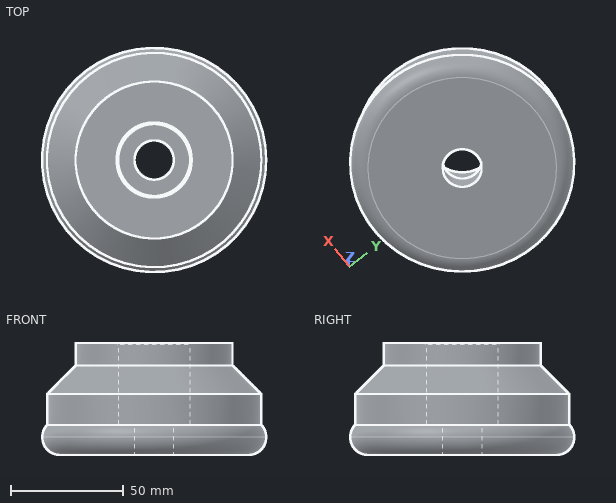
import cadquery as cq
import math

base_radius = 50.0
rim_radius = 8.0
base_hole_radius = 8.7

bell_radius = 47.8
neck_radius = 35.0
total_height = 50.0
neck_height = 10.0
bore_radius = 16.0
bore_chamfer = 0.8

shoulder_top = total_height - neck_height
shoulder_bottom = shoulder_top - (bell_radius - neck_radius)

rim_center_radius = base_radius - rim_radius
base_height = rim_radius + math.sqrt(rim_radius**2 - (bell_radius - rim_center_radius) ** 2)


def make_base():
    """Disc with a rounded rim and a central through hole."""
    diagonal = rim_radius * math.sqrt(0.5)
    upper_angle = math.atan2(base_height - rim_radius, bell_radius - rim_center_radius) / 2
    upper_arc_middle = (
        rim_center_radius + rim_radius * math.cos(upper_angle),
        rim_radius + rim_radius * math.sin(upper_angle),
    )
    return (
        cq.Workplane("XZ")
        .moveTo(base_hole_radius, 0)
        .lineTo(rim_center_radius, 0)
        .threePointArc((rim_center_radius + diagonal, rim_radius - diagonal), (base_radius, rim_radius))
        .threePointArc(upper_arc_middle, (bell_radius, base_height))
        .lineTo(base_hole_radius, base_height)
        .close()
        .revolve(360, (0, 0, 0), (0, 1, 0))
    )


def make_bell():
    """Hub with a conical shoulder, a neck and a bore chamfered at the top."""
    return (
        cq.Workplane("XZ")
        .moveTo(bore_radius, base_height)
        .lineTo(bell_radius, base_height)
        .lineTo(bell_radius, shoulder_bottom)
        .lineTo(neck_radius, shoulder_top)
        .lineTo(neck_radius, total_height)
        .lineTo(bore_radius + bore_chamfer, total_height)
        .lineTo(bore_radius, total_height - bore_chamfer)
        .close()
        .revolve(360, (0, 0, 0), (0, 1, 0))
    )


base = make_base()
bell = make_bell()

result = cq.Compound.makeCompound([base.val(), bell.val()])